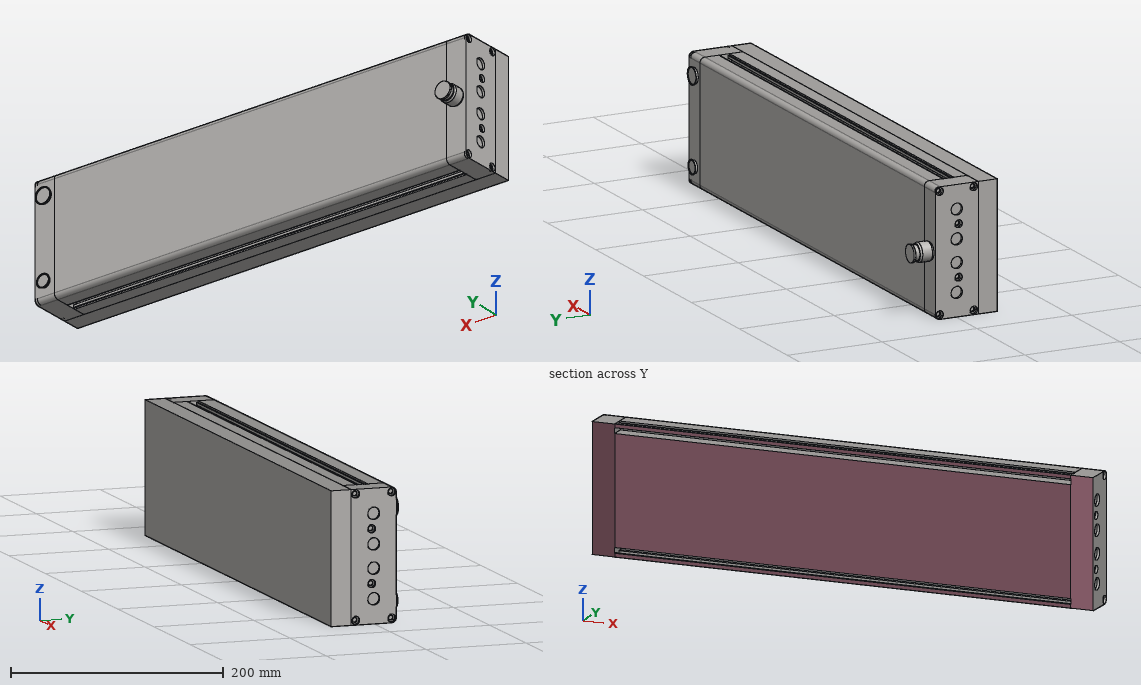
import cadquery as cq


LENGTH = 514.0
HEIGHT = 130.0
DEPTH = 86.5

PAD_DEPTH = 20.0
BACK_Y = 65.5
CAP_LENGTH = 23.0
BACK_FILLET = 5.0
PROFILE_LENGTH = LENGTH - 2 * CAP_LENGTH
CAP_CENTRE_X = (LENGTH - CAP_LENGTH) / 2

SLOT_Y = 39.5
SLOT_MOUTH_WIDTH = 11.0
SLOT_MOUTH_DEPTH = 1.5
SLOT_NECK_WIDTH = 7.5
SLOT_NECK_DEPTH = 4.0
SLOT_CHAMBER_WIDTH = 15.5
SLOT_DEPTH = 9.0

PORT_Y = 42.5
PORT_DIAMETER = 12.0
PORT_DEPTH = 2.5
PORT_PAIR_Z = 26.0
PORT_SPACING = 29.5
SCREW_Y = 40.5
SCREW_HEAD_DIAMETER = 7.5
SCREW_HEAD_DEPTH = 2.5
SCREW_SOCKET_DIAMETER = 4.5
SCREW_SOCKET_DEPTH = 4.5
CORNER_INSET = 4.5

COLLAR_DIAMETER = 19.5
COLLAR_LENGTH = 14.5
COLLAR_CHAMFER_LENGTH = 2.0
COLLAR_CHAMFER_INSET = 1.0
NECK_DIAMETER = 15.5
RIM_DIAMETER = 18.0
RIM_LENGTH = 2.0

PLUG_Z = 44.5
UPPER_PLUG_DIAMETER = 18.0
LOWER_PLUG_DIAMETER = 15.0
PLUG_RIM_OVERHANG = 1.0
PLUG_NECK_LENGTH = 2.5
PLUG_RIM_LENGTH = 0.5


def block(length, front_y, back_y, centre_x=0):
    """Full-height block between two Y planes."""
    depth = back_y - front_y
    return cq.Workplane("XY").box(length, depth, HEIGHT).translate((centre_x, front_y + depth / 2, 0))


def housing_block(length, centre_x=0):
    """Block behind the pad with its two long back edges rounded."""
    return block(length, PAD_DEPTH, BACK_Y, centre_x).edges(">Y and |X").fillet(BACK_FILLET)


def rod(diameter, length, start_y, x, z):
    """Cylinder that runs backward (+Y) from start_y."""
    circle = cq.Workplane("XZ", origin=(x, start_y, z)).circle(diameter / 2)
    return circle.extrude(-length)


def bore(diameter, depth, side, y, z):
    """Cutter for a round recess in the outer end face; side is -1 for left, 1 for right."""
    circle = cq.Workplane("YZ", origin=(side * LENGTH / 2, y, z)).circle(diameter / 2)
    return circle.extrude(-side * depth)


def make_pad():
    return block(LENGTH, 0, PAD_DEPTH)


def make_profile():
    profile = housing_block(PROFILE_LENGTH)
    slot_steps = (
        (SLOT_MOUTH_WIDTH, 0, SLOT_MOUTH_DEPTH),
        (SLOT_NECK_WIDTH, SLOT_MOUTH_DEPTH, SLOT_NECK_DEPTH),
        (SLOT_CHAMBER_WIDTH, SLOT_NECK_DEPTH, SLOT_DEPTH),
    )
    for width, start, end in slot_steps:
        step = cq.Workplane("XY").box(PROFILE_LENGTH, width, end - start)
        step_z = (HEIGHT - start - end) / 2
        for side in (-1, 1):
            profile = profile.cut(step.translate((0, SLOT_Y, side * step_z)))
    return profile


def make_cap(side):
    """Plain end cap with its ports and screws; side is -1 for left, 1 for right."""
    cap = housing_block(CAP_LENGTH, side * CAP_CENTRE_X)

    corner_z = HEIGHT / 2 - CORNER_INSET
    screw_places = []
    for half in (-1, 1):
        screw_places.append((SCREW_Y, half * PORT_PAIR_Z))
        screw_places.append((PAD_DEPTH + CORNER_INSET, half * corner_z))
        screw_places.append((BACK_Y - CORNER_INSET, half * corner_z))
        for end in (-1, 1):
            port_z = half * PORT_PAIR_Z + end * PORT_SPACING / 2
            cap = cap.cut(bore(PORT_DIAMETER, PORT_DEPTH, side, PORT_Y, port_z))

    for y, z in screw_places:
        cap = cap.cut(bore(SCREW_HEAD_DIAMETER, SCREW_HEAD_DEPTH, side, y, z))
        cap = cap.cut(bore(SCREW_SOCKET_DIAMETER, SCREW_SOCKET_DEPTH, side, y, z))
    return cap


def make_left_cap():
    """End cap with the hose connector on its back."""
    collar_radius = COLLAR_DIAMETER / 2
    collar_end_radius = collar_radius - COLLAR_CHAMFER_INSET
    collar_tip_y = BACK_Y + COLLAR_LENGTH
    rim_y = DEPTH - RIM_LENGTH
    outline = [
        (0, BACK_Y),
        (collar_end_radius, BACK_Y),
        (collar_radius, BACK_Y + COLLAR_CHAMFER_LENGTH),
        (collar_radius, collar_tip_y - COLLAR_CHAMFER_LENGTH),
        (collar_end_radius, collar_tip_y),
        (NECK_DIAMETER / 2, collar_tip_y),
        (NECK_DIAMETER / 2, rim_y),
        (RIM_DIAMETER / 2, rim_y),
        (RIM_DIAMETER / 2, DEPTH),
        (0, DEPTH),
    ]
    connector = cq.Workplane("XY").polyline(outline).close().revolve(360, (0, 0), (0, 1))
    return make_cap(-1).union(connector.translate((-CAP_CENTRE_X, 0, 0)))


def make_right_cap():
    """End cap with two blanking plugs on its back."""
    cap = make_cap(1)
    for z, rim_diameter in ((PLUG_Z, UPPER_PLUG_DIAMETER), (-PLUG_Z, LOWER_PLUG_DIAMETER)):
        neck_diameter = rim_diameter - 2 * PLUG_RIM_OVERHANG
        neck = rod(neck_diameter, PLUG_NECK_LENGTH, BACK_Y, CAP_CENTRE_X, z)
        rim = rod(rim_diameter, PLUG_RIM_LENGTH, BACK_Y + PLUG_NECK_LENGTH, CAP_CENTRE_X, z)
        cap = cap.union(neck).union(rim)
    return cap


pad = make_pad()
profile = make_profile()
left_cap = make_left_cap()
right_cap = make_right_cap()

result = cq.Compound.makeCompound([pad.val(), profile.val(), left_cap.val(), right_cap.val()])